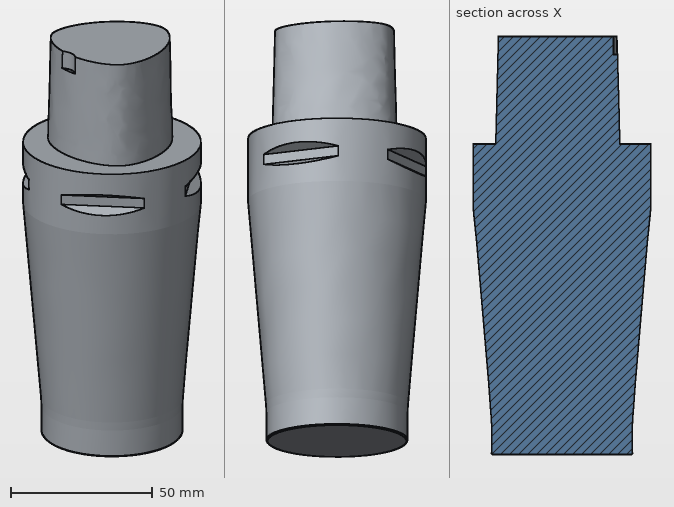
import cadquery as cq
import math

total_height = 148.0
shank_length = 38.0
flange_height = 22.8
nose_height = 10.0
nose_blend_height = 3.1
flange_bottom = total_height - shank_length - flange_height
shoulder_level = total_height - shank_length

flange_radius = 63.0 / 2
nose_radius = 50.0 / 2
cone_end_step = 0.1
nose_chamfer = 0.5

shank_base_radius = 22.0
lobe_offset = 1.5
shank_taper = 1 / 40
shank_top_radius = shank_base_radius - shank_taper * shank_length
lobe_direction = math.pi / 2
curve_samples = 72

key_width = 7.7
key_depth = 1.3
key_height = 6.4
key_radius = ((key_width / 2) ** 2 + key_depth**2) / (2 * key_depth)

groove_count = 4
groove_first_angle = 45
groove_level = 98.1
groove_floor_distance = 27.8
groove_floor_half_width = 1.8
groove_wall_angle = math.radians(30)
groove_reach = 5.9


def make_body():
    """Flange, cone and cylindrical nose, revolved about Z."""
    profile = (
        cq.Workplane("XZ")
        .moveTo(0, 0)
        .lineTo(nose_radius - nose_chamfer, 0)
        .lineTo(nose_radius, nose_chamfer)
        .lineTo(nose_radius, nose_height)
        .lineTo(nose_radius + cone_end_step, nose_height + nose_blend_height)
        .lineTo(flange_radius, flange_bottom)
        .lineTo(flange_radius, shoulder_level)
        .lineTo(0, shoulder_level)
        .close()
    )
    return profile.revolve(360, (0, 0, 0), (0, 1, 0))


def lobed_curve(radius):
    """Constant-width curve whose support distance is radius + offset * cos(3t)."""

    def point(t):
        x = radius * math.cos(t) + 2 * lobe_offset * math.cos(2 * t) - lobe_offset * math.cos(4 * t)
        y = radius * math.sin(t) - 2 * lobe_offset * math.sin(2 * t) - lobe_offset * math.sin(4 * t)
        cosine = math.cos(lobe_direction)
        sine = math.sin(lobe_direction)
        return cq.Vector(x * cosine - y * sine, x * sine + y * cosine)

    samples = [point(2 * math.pi * i / curve_samples) for i in range(curve_samples)]
    return cq.Wire.assembleEdges([cq.Edge.makeSpline(samples, periodic=True)])


def make_shank():
    """Loft between the lobed curves at the shoulder and at the top."""
    base = lobed_curve(shank_base_radius).translate(cq.Vector(0, 0, shoulder_level))
    top = lobed_curve(shank_top_radius).translate(cq.Vector(0, 0, total_height))
    return cq.Workplane(cq.Solid.makeLoft([base, top], True))


def make_keyway():
    """Vertical cylinder that leaves a shallow concave notch."""
    face_distance = shank_top_radius - lobe_offset
    center_y = -(face_distance - key_depth + key_radius)
    return (
        cq.Workplane("XY", origin=(0, center_y, total_height - key_height))
        .circle(key_radius)
        .extrude(key_height)
    )


def make_groove(angle):
    """Straight groove with a flat floor and flared walls, facing the given angle."""
    mouth_half_width = groove_floor_half_width + groove_reach * math.tan(groove_wall_angle)
    mouth_distance = groove_floor_distance + groove_reach
    return (
        cq.Workplane("XZ")
        .moveTo(groove_floor_distance, groove_level - groove_floor_half_width)
        .lineTo(mouth_distance, groove_level - mouth_half_width)
        .lineTo(mouth_distance, groove_level + mouth_half_width)
        .lineTo(groove_floor_distance, groove_level + groove_floor_half_width)
        .close()
        .extrude(flange_radius, both=True)
        .rotate((0, 0, 0), (0, 0, 1), angle)
    )


result = make_body().union(make_shank()).cut(make_keyway())
for index in range(groove_count):
    result = result.cut(make_groove(groove_first_angle + index * 360 / groove_count))